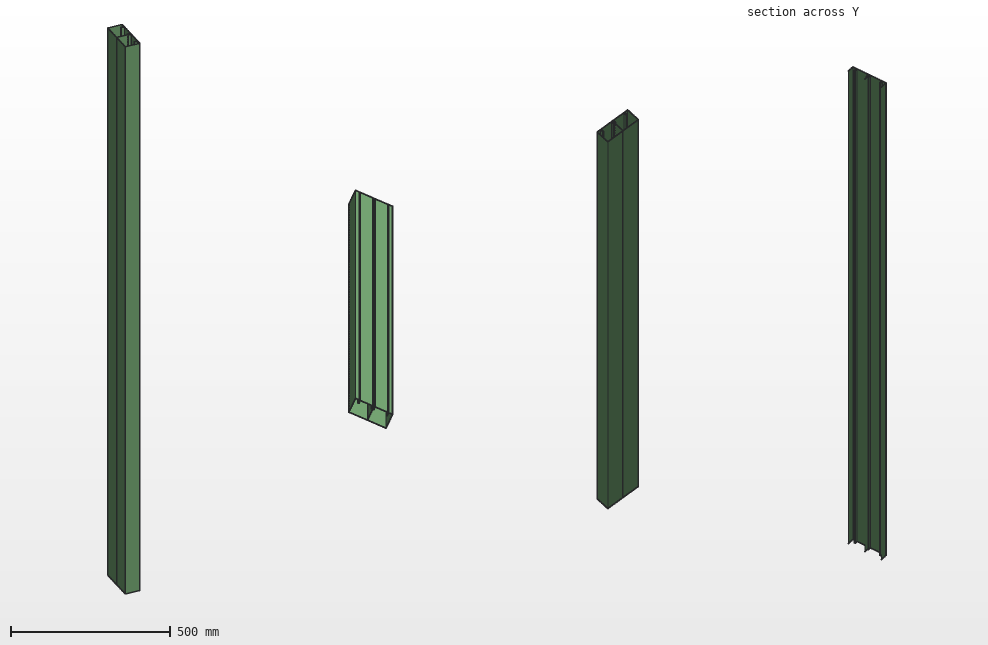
import cadquery as cq

LENGTH = 2000.0
WIDTH = 130.0
DEPTH = 52.0

WALL = 2.0
FLANGE_WIDTH = 15.0
HEAD_WIDTH = 4.8

HOOK_THICKNESS = 2.5
HOOK_DEPTH = 12.5

SIDE_X = WIDTH / 2
FRONT_Y = DEPTH / 2
BACK_Y = -FRONT_Y
OPENING_OUTER_X = -SIDE_X + FLANGE_WIDTH
OPENING_INNER_X = -HEAD_WIDTH / 2


def bar(x_min, x_max, y_min, y_max):
    """Full-length rectangular bar, centred on Z = 0."""
    return (
        cq.Workplane("XY")
        .box(x_max - x_min, y_max - y_min, LENGTH, centered=(False, False, True))
        .translate((x_min, y_min, 0))
    )


def make_side():
    """Left side wall with its inward flange and the hook at the flange edge."""
    wall = bar(-SIDE_X, -SIDE_X + WALL, BACK_Y, FRONT_Y)
    flange = bar(-SIDE_X, OPENING_OUTER_X, FRONT_Y - WALL, FRONT_Y)
    hook = bar(OPENING_OUTER_X - HOOK_THICKNESS, OPENING_OUTER_X, FRONT_Y - HOOK_DEPTH, FRONT_Y)
    return wall.union(flange).union(hook)


def make_trunking():
    """Back plate, T-shaped middle partition and two mirrored sides."""
    back = bar(-SIDE_X, SIDE_X, BACK_Y, BACK_Y + WALL)
    partition = bar(-WALL / 2, WALL / 2, BACK_Y, FRONT_Y)
    head = bar(-HEAD_WIDTH / 2, HEAD_WIDTH / 2, FRONT_Y - WALL, FRONT_Y)
    side = make_side()
    return back.union(partition).union(head).union(side).union(side.mirror("YZ"))


def make_lid():
    """Left lid: a plate flush with the open face and a leg along each edge."""
    lid = bar(OPENING_OUTER_X, OPENING_INNER_X, FRONT_Y - WALL, FRONT_Y)
    for leg_x in (OPENING_OUTER_X, OPENING_INNER_X - HOOK_THICKNESS):
        lid = lid.union(bar(leg_x, leg_x + HOOK_THICKNESS, FRONT_Y - HOOK_DEPTH, FRONT_Y))
    return lid


trunking = make_trunking()

lid_spacing = -(OPENING_OUTER_X + OPENING_INNER_X)
lids = [make_lid().translate((shift, 0, 0)) for shift in (0, lid_spacing)]

result = cq.Compound.makeCompound([trunking.val(), *[lid.val() for lid in lids]])